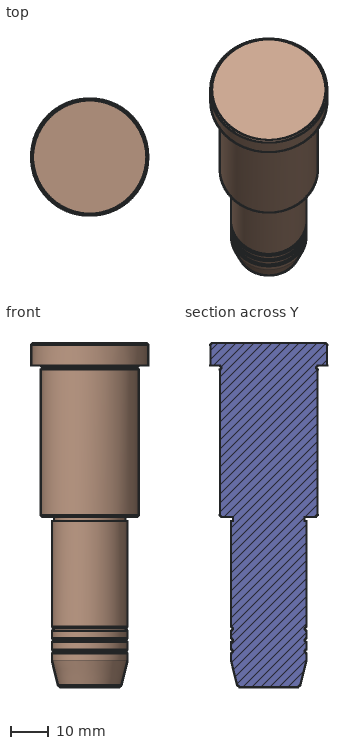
import cadquery as cq

total_height = 91.0
head_radius = 31.0 / 2
sleeve_radius = 26.0 / 2
pin_radius = 20.0 / 2
neck_radius = 19.0 / 2
tip_radius = 16.6 / 2

head_height = 6.0
sleeve_length = 40.0
neck_length = 1.0
taper_height = 7.0

head_chamfer = 0.55
sleeve_chamfer = 0.55
tip_chamfer = 0.55

groove_depth = 0.55
groove_count = 3
groove_pitch = 3.0
first_groove_z = 9.5

head_bottom = total_height - head_height
sleeve_bottom = head_bottom - sleeve_length
pin_top = sleeve_bottom - neck_length


def cylinder(radius, bottom, top):
    """Solid cylinder on the Z axis between two heights."""
    return cq.Workplane("XY").workplane(offset=bottom).circle(radius).extrude(top - bottom)


def ring_groove(radius, center_z):
    """Ring cutter with a 90 degree V section around a cylinder."""
    return (
        cq.Workplane("XZ")
        .moveTo(radius - groove_depth, center_z)
        .lineTo(radius, center_z + groove_depth)
        .lineTo(radius, center_z - groove_depth)
        .close()
        .revolve(360, (0, 0, 0), (0, 1, 0))
    )


head = cylinder(head_radius, head_bottom, total_height).faces(">Z").chamfer(head_chamfer)

sleeve = cylinder(sleeve_radius, sleeve_bottom, head_bottom)
sleeve = sleeve.faces("<Z").chamfer(sleeve_chamfer)
sleeve = sleeve.cut(ring_groove(sleeve_radius, head_bottom - groove_depth))

neck = cylinder(neck_radius, pin_top, sleeve_bottom)

pin = cylinder(pin_radius, taper_height, pin_top)
tip = (
    cq.Workplane("XY")
    .circle(tip_radius)
    .workplane(offset=taper_height)
    .circle(pin_radius)
    .loft()
    .faces("<Z")
    .edges()
    .chamfer(tip_chamfer)
)

result = head.union(sleeve).union(neck).union(pin).union(tip)
for index in range(groove_count):
    result = result.cut(ring_groove(pin_radius, first_groove_z + index * groove_pitch))